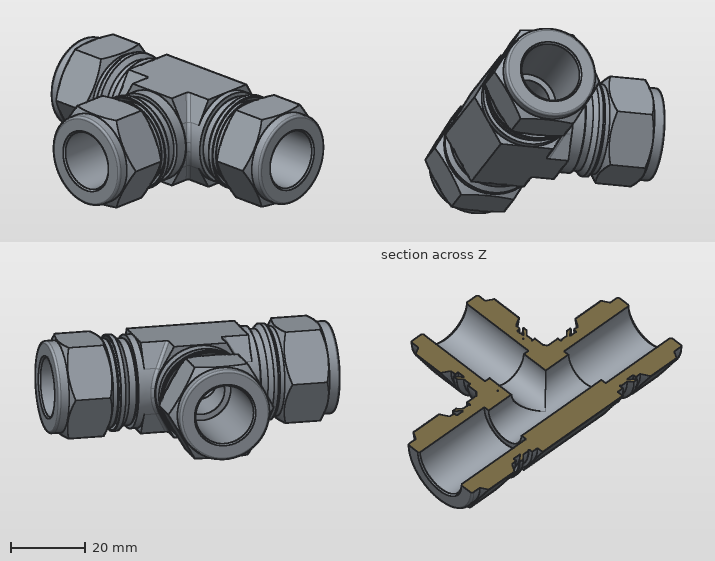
import cadquery as cq
import math


END_DISTANCE = 39.2
ACROSS_FLATS = 25.4
FLAT_RADIUS = ACROSS_FLATS / 2
HALF_SECTOR = math.radians(30)
CORNER_RADIUS = FLAT_RADIUS / math.cos(HALF_SECTOR)
HALF_FLAT = CORNER_RADIUS / 2

TANGENT_OUT = FLAT_RADIUS * math.cos(HALF_SECTOR)
TANGENT_UP = FLAT_RADIUS * math.sin(HALF_SECTOR)

RUN_HALF_LENGTH = 15.0
BRANCH_LENGTH = 13.6
CROTCH_FILLET = 0.95
SHOULDER_END = 16.95
BRANCH_SHOULDER_DIAMETER = 25.0

NECK_DIAMETER = 23.5
NECK_CHAMFER = 0.4
FLANGE_DIAMETER = 26.1
FLANGE_CONE_START = 19.3
FLANGE_CONE_END = 20.6
FLANGE_END = 21.9
RECESS_DIAMETER = 25.4
RECESS_BOTTOM = 19.9
GROOVE_DIAMETER = 22.2
GROOVE_END = 22.2

NUT_RING_DIAMETER = 24.3
NUT_RING_CHAMFER_DEPTH = 0.4
NUT_RING_CHAMFER_WIDTH = 0.2
HEX_START = 23.85
HEX_END = 36.25
HEX_CHAMFER_ANGLE = 30.0
NUT_END_DIAMETER = 25.0
NUT_END_FILLET = 0.6

BORE_DIAMETER = 12.7
SOCKET_DIAMETER = 16.1
SOCKET_DEPTH = 24.3
SOCKET_CHAMFER = 0.5

ARM_ANGLES = {"right": 0, "left": 180, "branch": -90}


def revolve_about_x(points):
    """Turn a closed outline of (x, radius) points about the X axis."""
    return cq.Workplane("XY").polyline(points).close().revolve(360, (0, 0, 0), (1, 0, 0))


def turned_about_z(shape, angle):
    return shape.rotate((0, 0, 0), (0, 0, 1), angle)


def run_body():
    """Hexagonal bar with a sharp corner at the back and a rounded front."""
    return (
        cq.Workplane("YZ", origin=(-RUN_HALF_LENGTH, 0, 0))
        .moveTo(CORNER_RADIUS, 0)
        .lineTo(HALF_FLAT, FLAT_RADIUS)
        .lineTo(-HALF_FLAT, FLAT_RADIUS)
        .lineTo(-TANGENT_OUT, TANGENT_UP)
        .threePointArc((-FLAT_RADIUS, 0), (-TANGENT_OUT, -TANGENT_UP))
        .lineTo(-HALF_FLAT, -FLAT_RADIUS)
        .lineTo(HALF_FLAT, -FLAT_RADIUS)
        .close()
        .extrude(2 * RUN_HALF_LENGTH)
    )


def branch_body():
    """Hexagonal bar along -Y with both side corners rounded."""
    return (
        cq.Workplane("XZ")
        .moveTo(-HALF_FLAT, FLAT_RADIUS)
        .lineTo(HALF_FLAT, FLAT_RADIUS)
        .lineTo(TANGENT_OUT, TANGENT_UP)
        .threePointArc((FLAT_RADIUS, 0), (TANGENT_OUT, -TANGENT_UP))
        .lineTo(HALF_FLAT, -FLAT_RADIUS)
        .lineTo(-HALF_FLAT, -FLAT_RADIUS)
        .lineTo(-TANGENT_OUT, -TANGENT_UP)
        .threePointArc((-FLAT_RADIUS, 0), (-TANGENT_OUT, TANGENT_UP))
        .close()
        .extrude(BRANCH_LENGTH)
    )


def tee_body():
    """Run and branch joined, with the two crotches between them filleted."""
    body = run_body().union(branch_body())
    for side in (-1, 1):
        crotch = cq.selectors.BoxSelector(
            (side * HALF_FLAT, -HALF_FLAT, -FLAT_RADIUS),
            (side * FLAT_RADIUS, -FLAT_RADIUS, FLAT_RADIUS),
        )
        body = body.edges(crotch).edges("not (|X or |Y)").fillet(CROTCH_FILLET)
    return body


def neck():
    """Chamfered neck, coned flange with a recessed outer face, and groove, along +X."""
    neck_radius = NECK_DIAMETER / 2
    flange_radius = FLANGE_DIAMETER / 2
    recess_radius = RECESS_DIAMETER / 2
    groove_radius = GROOVE_DIAMETER / 2
    return revolve_about_x([
        (0, 0),
        (0, neck_radius - NECK_CHAMFER),
        (SHOULDER_END, neck_radius - NECK_CHAMFER),
        (SHOULDER_END + NECK_CHAMFER, neck_radius),
        (FLANGE_CONE_START, neck_radius),
        (FLANGE_CONE_END, flange_radius),
        (FLANGE_END, flange_radius),
        (FLANGE_END, recess_radius),
        (RECESS_BOTTOM, groove_radius),
        (GROOVE_END, groove_radius),
        (GROOVE_END, 0),
    ])


def nut():
    """Hexagonal nut with both ends of the hexagon coned, a ring towards the body and a collar outside."""
    slope = math.tan(math.radians(HEX_CHAMFER_ANGLE))
    ring_radius = NUT_RING_DIAMETER / 2
    end_radius = NUT_END_DIAMETER / 2
    hexagon = (
        cq.Workplane("YZ", origin=(HEX_START, 0, 0))
        .polygon(6, 2 * CORNER_RADIUS)
        .extrude(HEX_END - HEX_START)
    )
    cone_limit = revolve_about_x([
        (HEX_START, 0),
        (HEX_START, ring_radius),
        (HEX_START + (CORNER_RADIUS - ring_radius) * slope, CORNER_RADIUS),
        (HEX_END - (CORNER_RADIUS - end_radius) * slope, CORNER_RADIUS),
        (HEX_END, end_radius),
        (HEX_END, 0),
    ])
    ring_and_collar = revolve_about_x([
        (GROOVE_END, 0),
        (GROOVE_END, ring_radius - NUT_RING_CHAMFER_WIDTH),
        (GROOVE_END + NUT_RING_CHAMFER_DEPTH, ring_radius),
        (HEX_END, ring_radius),
        (HEX_END, end_radius),
        (END_DISTANCE, end_radius),
        (END_DISTANCE, 0),
    ])
    ring_and_collar = ring_and_collar.faces(">X").edges().fillet(NUT_END_FILLET)
    return hexagon.intersect(cone_limit).union(ring_and_collar)


def arm(shoulder_diameter):
    """Everything outside the hexagonal body on one arm, solid, along +X."""
    shoulder = cq.Workplane("YZ").circle(shoulder_diameter / 2).extrude(SHOULDER_END)
    return shoulder.union(neck()).union(nut())


def arm_bore():
    """Through bore with a wider tube socket and a chamfered mouth, along +X."""
    bore_radius = BORE_DIAMETER / 2
    socket_radius = SOCKET_DIAMETER / 2
    socket_floor = END_DISTANCE - SOCKET_DEPTH
    return revolve_about_x([
        (0, 0),
        (0, bore_radius),
        (socket_floor, bore_radius),
        (socket_floor, socket_radius),
        (END_DISTANCE - SOCKET_CHAMFER, socket_radius),
        (END_DISTANCE, socket_radius + SOCKET_CHAMFER),
        (END_DISTANCE, 0),
    ])


result = tee_body()
for name, angle in ARM_ANGLES.items():
    shoulder_diameter = BRANCH_SHOULDER_DIAMETER if name == "branch" else ACROSS_FLATS
    result = result.union(turned_about_z(arm(shoulder_diameter), angle))
for angle in ARM_ANGLES.values():
    result = result.cut(turned_about_z(arm_bore(), angle))